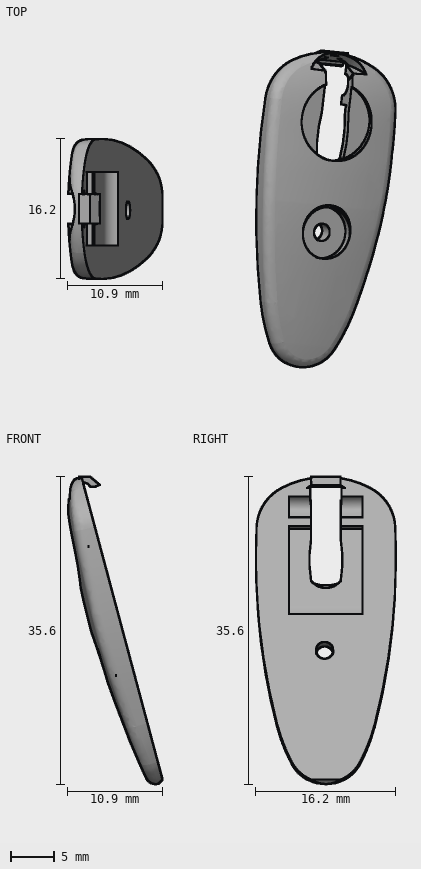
import cadquery as cq
import math

LEAN = 15.0

PLATE_TOP = 36.27
SIDE_ARCS = [
    (10.69, 28.7),
    (5.6, 58.9),
    (83.5, 16.3),
    (22.0, 12.95),
]
BLANK_DEPTH = 6.0

DOME_POINTS = [
    (1.2, -2.3),
    (2.35, 4.0),
    (3.1, 10.9),
    (3.57, 19.5),
    (3.3, 26.5),
    (2.72, 32.2),
    (1.85, 35.0),
    (0.3, 38.0),
]
CROWN_DEPTH = 3.57
CROSS_RADIUS = 43.0
RIM_FILLET = 1.2
NOSE_BEVEL_DEPTH = 0.6

HOLE_Y = -0.15
HOLE_HEIGHT = 15.5
HOLE_DIAMETER = 2.0
COUNTERBORE_DIAMETER = 6.0
COUNTERBORE_FLOOR = 2.1
COUNTERBORE_RIM = 3.5
RIM_CHAMFER = 0.2

RECESS_HEIGHT = 28.4
RECESS_DIAMETER = 9.0
RECESS_FLOOR = 2.3
SLOT_WIDTH = 3.4
SLOT_TOP = 34.2
SLOT_WAIST = 29.4
SLOT_BULGE_WIDTH = 3.8
SLOT_CORNER_HEIGHT = 24.2
SLOT_BOTTOM = 23.3

POCKET_WIDTH = 8.5
POCKET_BOTTOM = 19.87
POCKET_TOP = 30.4
POCKET_DEPTH = 1.31
GROOVE_BOTTOM = 31.45
GROOVE_TOP = 33.95

WINDOW_RADIUS = 3.85
WINDOW_HEIGHT = 2.6
WINDOW_FALL = 17.6
WINDOW_CROWN_X = -10.23
WINDOW_CROWN_Z = 34.8
WINDOW_SLOT_WIDTH = 3.6
SILL_RISE = 36.3
SILL_X = -11.09
SILL_Z = 32.3
WINDOW_LENGTH = 6.0

HOOK_WIDTH = 3.4
HOOK_ROOT_X = -9.7
HOOK_TOP_Z = 35.07
HOOK_BEND_X = -8.4
HOOK_TIP = (-7.28, 34.12)
HOOK_LIP = (-7.85, 33.87)
HOOK_HEEL = (-8.35, 33.87)
HOOK_THROAT = (-8.65, 34.22)
HOOK_SEAT = (-9.2, 34.42)
HOOK_ROOT_Z = 34.6


def lean(part):
    return part.rotate((0, 0, 0), (0, 1, 0), -LEAN)


def front_cylinder(diameter, y, height, depth_from, depth_to):
    """Cylinder square to the back, between two depths in front of it."""
    return (
        cq.Workplane("YZ", origin=(-depth_to, y, height))
        .circle(diameter / 2)
        .extrude(depth_to - depth_from)
    )


def arc_step(start, radius, heading, sweep):
    """Point reached along an arc that starts at an angle below +Y and bends further down."""
    end_heading = heading + sweep
    return (
        start[0] + radius * (math.sin(end_heading) - math.sin(heading)),
        start[1] + radius * (math.cos(end_heading) - math.cos(heading)),
    )


def side_arcs():
    """(middle, end) points of the arcs from the top of the plate to its bottom, for Y > 0."""
    arcs = []
    heading = 0.0
    point = (0.0, PLATE_TOP)
    for radius, degrees in SIDE_ARCS:
        sweep = math.radians(degrees)
        middle = arc_step(point, radius, heading, sweep / 2)
        point = arc_step(point, radius, heading, sweep)
        arcs.append((middle, point))
        heading += sweep
    last_sweep = math.pi - heading
    last_radius = point[0] / math.sin(heading)
    middle = arc_step(point, last_radius, heading, last_sweep / 2)
    bottom = arc_step(point, last_radius, heading, last_sweep)
    arcs.append((middle, (0.0, bottom[1])))
    return arcs


def make_plate():
    arcs = side_arcs()
    half_outline = cq.Workplane("YZ").moveTo(0, PLATE_TOP)
    for middle, end in arcs:
        half_outline = half_outline.threePointArc(middle, end)
    half_blank = half_outline.close().extrude(-BLANK_DEPTH)
    outline = half_blank.union(half_blank.mirror("XZ")).clean()
    plate_bottom = arcs[-1][1][1]
    to_axis = CROSS_RADIUS - CROWN_DEPTH
    low = DOME_POINTS[0][1]
    high = DOME_POINTS[-1][1]
    profile = [(to_axis + depth, height) for depth, height in DOME_POINTS]
    dome = (
        cq.Workplane("XZ", origin=(to_axis, 0, 0))
        .moveTo(0, low)
        .lineTo(*profile[0])
        .spline(profile[1:], includeCurrent=True)
        .lineTo(0, high)
        .close()
        .revolve(360, (0, low), (0, high))
    )
    plate = outline.intersect(dome)
    plate = plate.faces("<X").edges().fillet(RIM_FILLET)
    nose_bevel = (
        cq.Workplane("XZ")
        .polyline([(0, 0), (0, 2 * plate_bottom), (-2 * NOSE_BEVEL_DEPTH, 2 * plate_bottom)])
        .close()
        .extrude(BLANK_DEPTH, both=True)
    )
    return plate.cut(nose_bevel)


def make_mounting_hole():
    bore = front_cylinder(HOLE_DIAMETER, HOLE_Y, HOLE_HEIGHT, 0, BLANK_DEPTH)
    counterbore = front_cylinder(
        COUNTERBORE_DIAMETER, HOLE_Y, HOLE_HEIGHT, COUNTERBORE_FLOOR, BLANK_DEPTH
    )
    chamfer = (
        cq.Workplane("YZ", origin=(-COUNTERBORE_RIM + RIM_CHAMFER, HOLE_Y, HOLE_HEIGHT))
        .circle(COUNTERBORE_DIAMETER / 2)
        .workplane(offset=-2 * RIM_CHAMFER)
        .circle(COUNTERBORE_DIAMETER / 2 + 2 * RIM_CHAMFER)
        .loft()
    )
    return bore.union(counterbore).union(chamfer)


def make_recess():
    return front_cylinder(RECESS_DIAMETER, 0, RECESS_HEIGHT, RECESS_FLOOR, BLANK_DEPTH)


def make_slot():
    """Straight slot through the plate, with a barrel-sided end through the recess floor."""
    half = SLOT_WIDTH / 2
    bulge = SLOT_BULGE_WIDTH / 2
    bulge_height = (SLOT_WAIST + SLOT_CORNER_HEIGHT) / 2
    straight = (
        cq.Workplane("YZ")
        .moveTo(-half, SLOT_WAIST)
        .lineTo(half, SLOT_WAIST)
        .lineTo(half, SLOT_TOP)
        .lineTo(-half, SLOT_TOP)
        .close()
        .extrude(-BLANK_DEPTH)
    )
    barrel_end = (
        cq.Workplane("YZ")
        .moveTo(-half, SLOT_WAIST)
        .lineTo(half, SLOT_WAIST)
        .threePointArc((bulge, bulge_height), (half, SLOT_CORNER_HEIGHT))
        .threePointArc((0, SLOT_BOTTOM), (-half, SLOT_CORNER_HEIGHT))
        .threePointArc((-bulge, bulge_height), (-half, SLOT_WAIST))
        .close()
        .extrude(-RECESS_FLOOR)
    )
    return straight.union(barrel_end)


def make_back_pocket():
    """Flat-floored pocket whose lower wall is a full quarter round."""
    floor_start = POCKET_BOTTOM + POCKET_DEPTH
    middle = POCKET_DEPTH * math.sqrt(0.5)
    return (
        cq.Workplane("XZ")
        .moveTo(0, POCKET_BOTTOM)
        .threePointArc((-middle, floor_start - middle), (-POCKET_DEPTH, floor_start))
        .lineTo(-POCKET_DEPTH, POCKET_TOP)
        .lineTo(0, POCKET_TOP)
        .close()
        .extrude(POCKET_WIDTH / 2, both=True)
    )


def make_back_groove():
    return (
        cq.Workplane("XZ")
        .center(0, (GROOVE_BOTTOM + GROOVE_TOP) / 2)
        .circle((GROOVE_TOP - GROOVE_BOTTOM) / 2)
        .extrude(POCKET_WIDTH / 2, both=True)
    )


def make_window():
    """Arched window that falls towards the back, over a sill that rises towards the back."""
    fall = math.radians(WINDOW_FALL)
    axis = cq.Plane(
        origin=(WINDOW_CROWN_X, 0, WINDOW_CROWN_Z),
        xDir=(0, 1, 0),
        normal=(math.cos(fall), 0, -math.sin(fall)),
    )
    barrel = (
        cq.Workplane(axis)
        .center(0, -WINDOW_RADIUS)
        .circle(WINDOW_RADIUS)
        .extrude(WINDOW_LENGTH, both=True)
    )
    rise = math.radians(SILL_RISE)
    reach = WINDOW_LENGTH
    sill_run = (reach * math.cos(rise), reach * math.sin(rise))
    above_sill = (
        cq.Workplane("XZ")
        .polyline(
            [
                (SILL_X - sill_run[0], SILL_Z - sill_run[1]),
                (SILL_X + sill_run[0], SILL_Z + sill_run[1]),
                (SILL_X - sill_run[0], SILL_Z + sill_run[1]),
            ]
        )
        .close()
        .extrude(2 * WINDOW_RADIUS, both=True)
    )
    middle = (
        cq.Workplane(axis)
        .center(0, WINDOW_RADIUS - WINDOW_HEIGHT)
        .rect(WINDOW_SLOT_WIDTH, 2 * WINDOW_RADIUS)
        .extrude(WINDOW_LENGTH, both=True)
    )
    return barrel.intersect(above_sill).union(barrel.intersect(middle))


def make_hook():
    return (
        cq.Workplane("XZ")
        .moveTo(HOOK_ROOT_X, HOOK_TOP_Z)
        .lineTo(HOOK_BEND_X, HOOK_TOP_Z)
        .lineTo(*HOOK_TIP)
        .lineTo(*HOOK_LIP)
        .lineTo(*HOOK_HEEL)
        .lineTo(*HOOK_THROAT)
        .lineTo(*HOOK_SEAT)
        .lineTo(HOOK_ROOT_X, HOOK_ROOT_Z)
        .close()
        .extrude(HOOK_WIDTH / 2, both=True)
    )


plate = make_plate()
for cutter in (make_mounting_hole(), make_recess(), make_slot(), make_back_pocket(), make_back_groove()):
    plate = plate.cut(cutter)
result = lean(plate).cut(make_window()).union(make_hook())